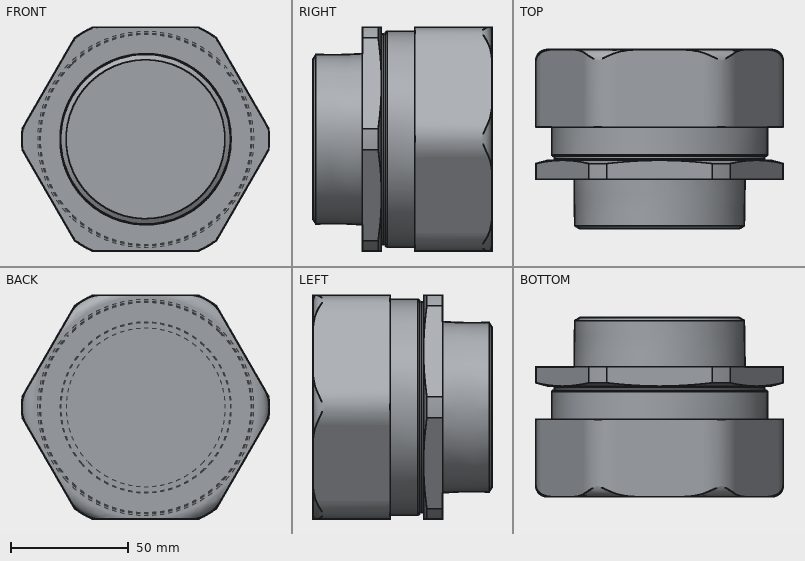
import cadquery as cq
import math


corner_diameter = 105.0
across_flats = 95.0
corner_radius = corner_diameter / 2
flat_radius = across_flats / 2

spigot_end = 0.0
spigot_chamfer_end = 1.4
flange_front = 21.0
flange_shoulder = 27.7
flange_back = 29.1
neck_step = 29.8
collar_front = 30.8
collar_chamfer_end = 31.5
nut_front = 43.2
nut_back = 76.1

spigot_tip_radius = 33.7
spigot_front_radius = 36.0
spigot_root_radius = 36.3
neck_radius = 89.5 / 2
collar_radius = 91.8 / 2
collar_chamfer = 0.7
neck_groove_depth = 0.1

nut_back_round = corner_radius - flat_radius
nut_front_chamfer_depth = 0.13
nut_front_chamfer_height = 0.3


def hexagonal_prism(start, end):
    """Sharp hexagon along Y with two corners on the X axis."""
    sharp_diameter = across_flats / math.cos(math.radians(30))
    return (
        cq.Workplane("XZ", origin=(0, start, 0))
        .polygon(6, sharp_diameter)
        .extrude(start - end)
    )


def turned(profile):
    """Revolve a profile of radius against Y about the Y axis."""
    return profile.close().revolve(360, (0, 0, 0), (0, 1, 0))


def make_core():
    """Tapered spigot, grooved neck and collar, reaching into the nut."""
    return turned(
        cq.Workplane("XY")
        .moveTo(0, spigot_end)
        .lineTo(spigot_tip_radius, spigot_end)
        .lineTo(spigot_front_radius, spigot_chamfer_end)
        .lineTo(spigot_root_radius, flange_front)
        .lineTo(neck_radius, flange_front)
        .lineTo(neck_radius, neck_step)
        .lineTo(neck_radius - neck_groove_depth, neck_step)
        .lineTo(neck_radius - neck_groove_depth, collar_front)
        .lineTo(collar_radius - collar_chamfer, collar_front)
        .lineTo(collar_radius, collar_chamfer_end)
        .lineTo(collar_radius, nut_front)
        .lineTo(0, nut_front)
    )


def make_flange():
    """Hexagon with turned corners and a conical bevel on its back face."""
    envelope = turned(
        cq.Workplane("XY")
        .moveTo(0, flange_front)
        .lineTo(corner_radius, flange_front)
        .lineTo(corner_radius, flange_shoulder)
        .lineTo(flat_radius, flange_back)
        .lineTo(0, flange_back)
    )
    return hexagonal_prism(flange_front, flange_back).intersect(envelope)


def make_nut():
    """Hexagon with rounded corners, a turned round at the back and a small bevel in front."""
    sharp_radius = flat_radius / math.cos(math.radians(30))
    corner_round = (sharp_radius - corner_radius) / (sharp_radius / flat_radius - 1)
    prism = hexagonal_prism(nut_front, nut_back).edges("|Y").fillet(corner_round)

    clearance = 0.01
    outer_radius = corner_radius + clearance
    envelope = turned(
        cq.Workplane("XY")
        .moveTo(0, nut_front)
        .lineTo(corner_radius - nut_front_chamfer_depth, nut_front)
        .lineTo(outer_radius, nut_front + nut_front_chamfer_height)
        .lineTo(outer_radius, nut_back - nut_back_round)
        .radiusArc((outer_radius - nut_back_round, nut_back), -nut_back_round)
        .lineTo(0, nut_back)
    )
    return prism.intersect(envelope)


result = make_core().union(make_flange()).union(make_nut())